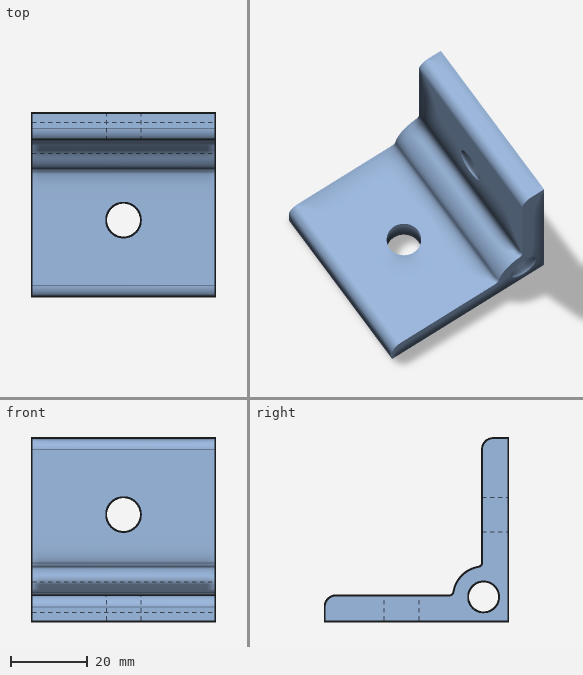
import cadquery as cq

length = 48.0
leg = 48.0
thickness = 6.9
tip_radius = 3.0

bore_offset = 6.5
bore_diameter = 8.0
boss_radius = 8.0
blend_radius = 1.0

hole_distance = 28.0
hole_diameter = 9.0


def bar(width, height):
    """Bar with its section in the YZ plane, starting at the outer corner."""
    return cq.Workplane("YZ").rect(-width, height, centered=False).extrude(length)


def corner_cylinder(diameter):
    """Full-length cylinder on the axis of the corner bore."""
    return cq.Workplane("YZ").center(-bore_offset, bore_offset).circle(diameter / 2).extrude(length)


def edge_at(y, z):
    """Selector for the lengthwise edge passing through (y, z)."""
    return cq.selectors.NearestToPointSelector((length / 2, y, z))


bracket = bar(leg, thickness).union(bar(thickness, leg))
bracket = bracket.edges(edge_at(-leg, thickness)).fillet(tip_radius)
bracket = bracket.edges(edge_at(-thickness, leg)).fillet(tip_radius)

bracket = bracket.union(corner_cylinder(2 * boss_radius).intersect(bar(leg, leg)))
rise = thickness - bore_offset
boss_reach = bore_offset + (boss_radius**2 - rise**2) ** 0.5
bracket = bracket.edges(edge_at(-boss_reach, thickness)).fillet(blend_radius)
bracket = bracket.edges(edge_at(-thickness, boss_reach)).fillet(blend_radius)

bracket = bracket.cut(corner_cylinder(bore_diameter))

floor_hole = (
    cq.Workplane("XY")
    .center(length / 2, -hole_distance)
    .circle(hole_diameter / 2)
    .extrude(thickness)
)
wall_hole = (
    cq.Workplane("XZ")
    .center(length / 2, hole_distance)
    .circle(hole_diameter / 2)
    .extrude(thickness)
)
result = bracket.cut(floor_hole).cut(wall_hole)